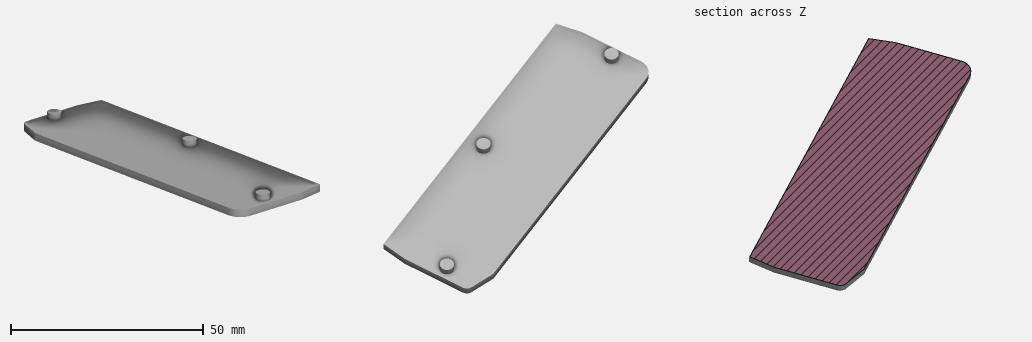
import cadquery as cq

length = 87.3
width = 29.4
plate_thickness = 2.1

taper_inset = 1.2
taper_depth = 7.25

cut_length = 8.0
cut_depth = 3.0
cut_corner_radius = 2.0
round_corner_radius = 4.0

total_height = 3.9
peg_diameter = 3.75
peg_height = total_height - plate_thickness
end_peg_inset = 3.1
end_peg_y = 11.2
middle_peg_x = 41.6
middle_peg_y = 23.9
peg_centers = [
    (end_peg_inset, end_peg_y),
    (length - end_peg_inset, end_peg_y),
    (middle_peg_x, middle_peg_y),
]


def make_plate():
    outline = [
        (cut_length, 0),
        (length, 0),
        (length, width - taper_depth),
        (length - taper_inset, width),
        (taper_inset, width),
        (0, width - taper_depth),
        (0, cut_depth),
    ]
    plate = cq.Workplane("XY").polyline(outline).close().extrude(plate_thickness)
    mid_height = plate_thickness / 2
    cut_corner = cq.selectors.NearestToPointSelector((0, cut_depth, mid_height))
    round_corner = cq.selectors.NearestToPointSelector((length, 0, mid_height))
    plate = plate.edges("|Z").edges(cut_corner).fillet(cut_corner_radius)
    return plate.edges("|Z").edges(round_corner).fillet(round_corner_radius)


def make_pegs():
    top_face = cq.Workplane("XY").workplane(offset=plate_thickness)
    return top_face.pushPoints(peg_centers).circle(peg_diameter / 2).extrude(peg_height)


result = make_plate().union(make_pegs())